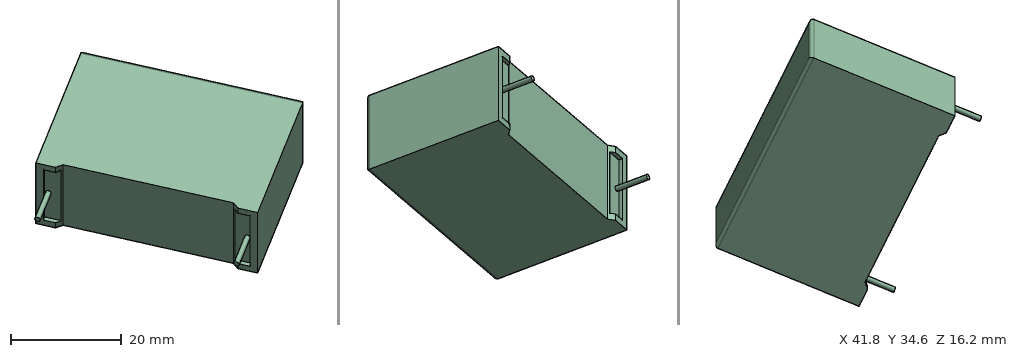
import cadquery as cq

case_width = 41.8
case_height = 16.2
overall_depth = 34.6
pin_projection = 6.0
case_depth = overall_depth - pin_projection
back_round = 0.63

relief_depth = 1.0
foot_width = 3.7
relief_slope_run = 1.13

pocket_side_inset = 1.42
pocket_end_inset = 1.4
pocket_width = 3.1
pocket_height = case_height - 2 * pocket_end_inset
pocket_depth = 0.8

pin_pitch = 37.5
pin_diameter = 1.05

SIDES = (-1, 1)


def make_case():
    """Block with a sloped relief between two front feet, a rounded back and a pocket in each foot."""
    half = case_width / 2
    foot_edge = half - foot_width
    relief_edge = foot_edge - relief_slope_run
    body = (
        cq.Workplane("XY")
        .polyline([
            (-half, 0), (-foot_edge, 0), (-relief_edge, relief_depth),
            (relief_edge, relief_depth), (foot_edge, 0), (half, 0),
            (half, case_depth), (-half, case_depth),
        ])
        .close()
        .extrude(case_height / 2, both=True)
        .faces(">Y").edges().fillet(back_round)
    )
    for side in SIDES:
        pocket_x = side * (half - pocket_side_inset - pocket_width / 2)
        pocket = cq.Workplane("XY").box(pocket_width, 2 * pocket_depth, pocket_height)
        body = body.cut(pocket.translate((pocket_x, 0, 0)))
    return body


def make_pin(side):
    """Round pin standing on the floor of the pocket in one foot."""
    return (
        cq.Workplane("XZ", origin=(side * pin_pitch / 2, pocket_depth, 0))
        .circle(pin_diameter / 2)
        .extrude(pin_projection + pocket_depth)
    )


case = make_case()
pins = [make_pin(side) for side in SIDES]
result = cq.Compound.makeCompound([case.val(), *[pin.val() for pin in pins]])